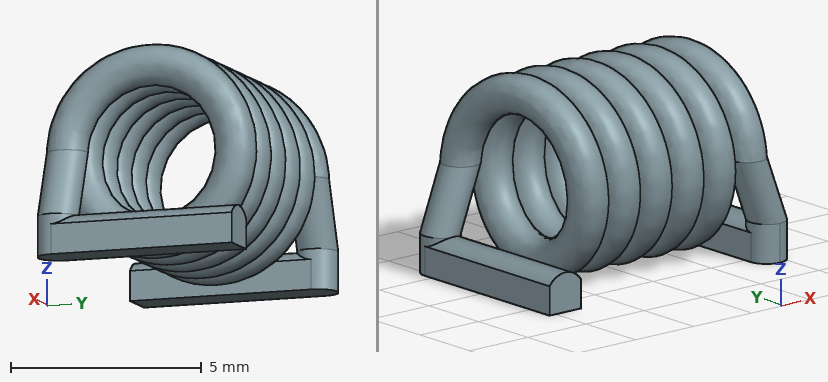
import cadquery as cq

overall_length = 8.45
coil_diameter = 5.59
overall_height = 5.69
wire_diameter = 1.08
pitch = 1.09
turns = 5.5
foot_height = 1.08
foot_side_height = 0.8

wire_radius = wire_diameter / 2
coil_radius = coil_diameter / 2
winding_radius = coil_radius - wire_radius
axis_height = overall_height - coil_radius
winding_length = pitch * turns
leg_x = overall_length / 2 - wire_radius


def make_winding():
    """Helical wire about X, from the rear of the -X end to the front of the +X end."""
    path = cq.Workplane(cq.Wire.makeHelix(pitch, winding_length, winding_radius))
    coil = (
        cq.Workplane("XZ")
        .center(winding_radius, 0)
        .circle(wire_radius)
        .sweep(path, isFrenet=True)
    )
    coil = coil.rotate((0, 0, 0), (1, 1, 1), 120)
    return coil.translate((-winding_length / 2, 0, axis_height))


def make_rear_lead():
    """Slanted leg, upright post and arched foot at the -X end."""
    slant_shift = leg_x - winding_length / 2
    slant = (
        cq.Workplane("XY", origin=(-leg_x, winding_radius, foot_height))
        .circle(wire_radius)
        .workplane(offset=axis_height - foot_height)
        .center(slant_shift, 0)
        .circle(wire_radius)
        .loft(ruled=True)
    )
    post = (
        cq.Workplane("XY", origin=(-leg_x, winding_radius, 0))
        .circle(wire_radius)
        .extrude(foot_height)
    )
    post = post.rotate(
        (-leg_x, winding_radius, 0), (-leg_x, winding_radius, 1), 90
    )
    foot = (
        cq.Workplane("XZ", origin=(-leg_x, winding_radius, 0))
        .moveTo(-wire_radius, 0)
        .lineTo(wire_radius, 0)
        .lineTo(wire_radius, foot_side_height)
        .threePointArc((0, foot_height), (-wire_radius, foot_side_height))
        .close()
        .extrude(winding_radius + coil_radius)
    )
    return post.union(foot).union(slant)


rear_lead = make_rear_lead()
front_lead = rear_lead.rotate((0, 0, 0), (0, 0, 1), 180)

result = make_winding().union(rear_lead).union(front_lead)